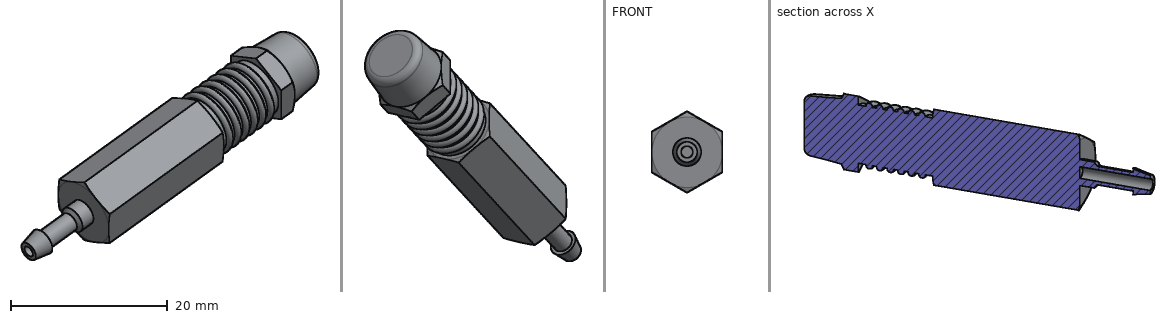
import math

import cadquery as cq

BARB_LENGTH = 2.5
STEM_LENGTH = 5.0
COLLAR_CHAMFER_LENGTH = 0.5
COLLAR_LENGTH = 2.0
BODY_LENGTH = 21.0
NECK_LENGTH = 10.5
NUT_LENGTH = 2.5
CAP_LENGTH = 5.3

STEM_START = BARB_LENGTH
CHAMFER_START = STEM_START + STEM_LENGTH
COLLAR_START = CHAMFER_START + COLLAR_CHAMFER_LENGTH
BODY_START = COLLAR_START + COLLAR_LENGTH
NECK_START = BODY_START + BODY_LENGTH
NUT_START = NECK_START + NECK_LENGTH
CAP_START = NUT_START + NUT_LENGTH
CAP_END = CAP_START + CAP_LENGTH

HEX_SIDES = 6
ACROSS_FLATS = 9.0
FLAT_RADIUS = ACROSS_FLATS / 2
CORNER_RADIUS = FLAT_RADIUS / math.cos(math.pi / HEX_SIDES)
COLLAR_RADIUS = 3.6 / 2
STEM_RADIUS = 2.6 / 2
BORE_RADIUS = 1.5 / 2
NECK_RADIUS = 8.0 / 2

RING_COUNT = 6
RING_PITCH = 1.5
RING_SECTION_RADIUS = FLAT_RADIUS - NECK_RADIUS

BODY_CHAMFER_ANGLE = 15
NUT_CHAMFER_ANGLE = 30

CAP_TAPER_ANGLE = 5
CAP_FILLET = 1.0

BORE_DEPTH = BODY_START

NECK_OVERLAP = 0.5


def revolve_about_y(profile):
    """Revolve a profile of (radius, y) points a full turn about the Y axis."""
    return profile.close().revolve(360, (0, 0, 0), (0, 1, 0))


def cylinder(radius, start, length):
    """Cylinder along Y that begins at y = start."""
    plane = cq.Workplane("XZ", origin=(0, start, 0))
    return plane.circle(radius).extrude(-length)


def hex_bar(start, length):
    """Hexagonal bar along Y with flats facing -X and +X and corners facing -Z and +Z."""
    plane = cq.Workplane("XZ", origin=(0, start, 0)).transformed(rotate=(0, 0, 90))
    return plane.polygon(HEX_SIDES, 2 * CORNER_RADIUS).extrude(-length)


def chamfer_envelope(start, end, start_angle, end_angle):
    """Turned blank whose cones trim hexagon corners; an angle of zero leaves an end square."""
    margin = CORNER_RADIUS - FLAT_RADIUS
    outer_radius = CORNER_RADIUS + margin
    cone_width = outer_radius - FLAT_RADIUS
    start_cone = cone_width * math.tan(math.radians(start_angle))
    end_cone = cone_width * math.tan(math.radians(end_angle))
    profile = (
        cq.Workplane("XY")
        .moveTo(0, start)
        .lineTo(FLAT_RADIUS, start)
        .lineTo(outer_radius, start + start_cone)
        .lineTo(outer_radius, end - end_cone)
        .lineTo(FLAT_RADIUS, end)
        .lineTo(0, end)
    )
    return revolve_about_y(profile)


def make_hose_barb():
    """Barb, stem and chamfered collar turned as one piece."""
    profile = (
        cq.Workplane("XY")
        .moveTo(0, 0)
        .lineTo(STEM_RADIUS, 0)
        .lineTo(COLLAR_RADIUS, STEM_START)
        .lineTo(STEM_RADIUS, STEM_START)
        .lineTo(STEM_RADIUS, CHAMFER_START)
        .lineTo(COLLAR_RADIUS, COLLAR_START)
        .lineTo(COLLAR_RADIUS, BODY_START)
        .lineTo(0, BODY_START)
    )
    return revolve_about_y(profile)


def make_body():
    """Long hexagonal body with chamfered corners at both ends."""
    envelope = chamfer_envelope(BODY_START, NECK_START, BODY_CHAMFER_ANGLE, BODY_CHAMFER_ANGLE)
    return hex_bar(BODY_START, BODY_LENGTH).intersect(envelope)


def make_ringed_neck():
    """Cylindrical neck carrying evenly spaced half-round rings."""
    neck = cylinder(NECK_RADIUS, NECK_START - NECK_OVERLAP, NECK_LENGTH + 2 * NECK_OVERLAP)
    neck_middle = NECK_START + NECK_LENGTH / 2
    first_ring = neck_middle - RING_PITCH * (RING_COUNT - 1) / 2
    for index in range(RING_COUNT):
        ring_center = first_ring + index * RING_PITCH
        ring_profile = (
            cq.Workplane("XY")
            .moveTo(0, ring_center - RING_SECTION_RADIUS)
            .lineTo(NECK_RADIUS, ring_center - RING_SECTION_RADIUS)
            .threePointArc(
                (NECK_RADIUS + RING_SECTION_RADIUS, ring_center),
                (NECK_RADIUS, ring_center + RING_SECTION_RADIUS),
            )
            .lineTo(0, ring_center + RING_SECTION_RADIUS)
        )
        neck = neck.union(revolve_about_y(ring_profile))
    return neck


def make_nut():
    """Short hexagon with chamfered corners on the cap side only."""
    envelope = chamfer_envelope(NUT_START, CAP_START, 0, NUT_CHAMFER_ANGLE)
    return hex_bar(NUT_START, NUT_LENGTH).intersect(envelope)


def make_cap():
    """Cap that narrows towards +Y and has a rounded outer edge."""
    end_radius = FLAT_RADIUS - CAP_LENGTH * math.tan(math.radians(CAP_TAPER_ANGLE))
    profile = (
        cq.Workplane("XY")
        .moveTo(0, CAP_START)
        .lineTo(FLAT_RADIUS, CAP_START)
        .lineTo(end_radius, CAP_END)
        .lineTo(0, CAP_END)
    )
    return revolve_about_y(profile).faces(">Y").edges().fillet(CAP_FILLET)


fitting = make_hose_barb()
for section in (make_body(), make_ringed_neck(), make_nut(), make_cap()):
    fitting = fitting.union(section)

result = fitting.cut(cylinder(BORE_RADIUS, 0, BORE_DEPTH))